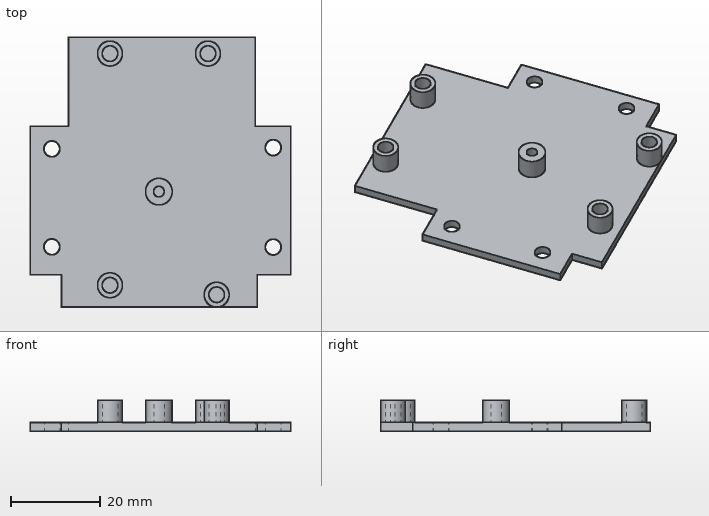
import cadquery as cq

plate_width = 58.59
plate_length = 60.62
plate_thickness = 2.0
overall_height = 7.0
boss_height = overall_height - plate_thickness

front_tab_left = 7.03
front_tab_width = 44.0
front_tab_depth = 7.26
front_tab_right = front_tab_left + front_tab_width

back_tab_left = 8.6
back_tab_width = 42.0
back_tab_depth = 19.94
back_tab_right = back_tab_left + back_tab_width
back_tab_start = plate_length - back_tab_depth

mount_hole_diameter = 3.5
mount_hole_centers = [
    (4.9, 13.55),
    (4.9, 35.55),
    (54.6, 13.5),
    (54.6, 35.83),
]

corner_boss_diameter = 5.6
corner_bore_diameter = 3.5
boss_left = 17.95
boss_spacing = 22.0
boss_front = 4.93
boss_back = 56.95
offset_boss_x = 41.9
offset_boss_y = corner_boss_diameter / 2
corner_boss_centers = [
    (boss_left, boss_front),
    (boss_left, boss_back),
    (boss_left + boss_spacing, boss_back),
    (offset_boss_x, offset_boss_y),
]

middle_boss_diameter = 6.0
middle_bore_diameter = 2.4
middle_boss_center = (28.93, 25.95)


def make_plate():
    """Stepped plate with its four through holes."""
    outline = [
        (front_tab_left, 0),
        (front_tab_right, 0),
        (front_tab_right, front_tab_depth),
        (plate_width, front_tab_depth),
        (plate_width, back_tab_start),
        (back_tab_right, back_tab_start),
        (back_tab_right, plate_length),
        (back_tab_left, plate_length),
        (back_tab_left, back_tab_start),
        (0, back_tab_start),
        (0, front_tab_depth),
        (front_tab_left, front_tab_depth),
    ]
    plate = cq.Workplane("XY").polyline(outline).close().extrude(plate_thickness)
    holes = (
        cq.Workplane("XY")
        .pushPoints(mount_hole_centers)
        .circle(mount_hole_diameter / 2)
        .extrude(plate_thickness)
    )
    return plate.cut(holes)


def make_bosses(centers, outer_diameter, bore_diameter):
    """Tubular bosses on the plate; each bore stops at the plate's top face."""
    return (
        cq.Workplane("XY", origin=(0, 0, plate_thickness))
        .pushPoints(centers)
        .circle(outer_diameter / 2)
        .circle(bore_diameter / 2)
        .extrude(boss_height)
    )


corner_bosses = make_bosses(corner_boss_centers, corner_boss_diameter, corner_bore_diameter)
middle_boss = make_bosses([middle_boss_center], middle_boss_diameter, middle_bore_diameter)

result = make_plate().union(corner_bosses).union(middle_boss)